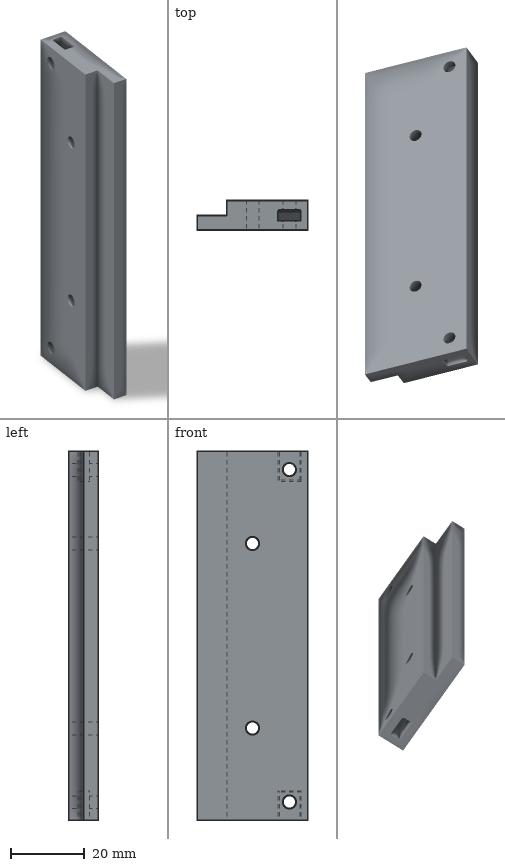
import cadquery as cq
import math

width = 30.0
thickness = 8.0
height = 100.0

step_width = 8.0
step_depth = thickness / 2

hole_diameter = 3.5
end_hole_inset = 5.0
end_hole_x = width - end_hole_inset
center_hole_x = width / 2
center_hole_inset = height / 4

pocket_width = 6.2
pocket_front_y = 2.5
pocket_thickness = 3.0
pocket_depth = end_hole_inset + pocket_width / 2

bevel_run = 0.5
bevel_angle = 30.0
bevel_inset = bevel_run * math.tan(math.radians(bevel_angle))


def make_plate():
    """Rectangular plate with its back left corner stepped down."""
    step_y = thickness - step_depth
    return (
        cq.Workplane("XY")
        .polyline([
            (0, 0),
            (width, 0),
            (width, thickness),
            (step_width, thickness),
            (step_width, step_y),
            (0, step_y),
        ])
        .close()
        .extrude(height)
    )


def make_hole(x, z):
    """Cylinder through the whole thickness, centred at x and z."""
    return cq.Workplane("XZ", origin=(x, 0, z)).circle(hole_diameter / 2).extrude(-thickness)


def make_top_pocket():
    """Nut slot open at the top end, with its back bevelled at both sides and at the floor."""
    back_y = pocket_front_y + pocket_thickness
    bevel_start_y = back_y - bevel_run
    floor_z = height - pocket_depth
    left_x = end_hole_x - pocket_width / 2
    right_x = end_hole_x + pocket_width / 2

    slot_with_bevelled_sides = (
        cq.Workplane("XY", origin=(0, 0, floor_z))
        .polyline([
            (left_x, pocket_front_y),
            (right_x, pocket_front_y),
            (right_x, bevel_start_y),
            (right_x - bevel_inset, back_y),
            (left_x + bevel_inset, back_y),
            (left_x, bevel_start_y),
        ])
        .close()
        .extrude(pocket_depth)
    )
    profile_with_bevelled_floor = (
        cq.Workplane("YZ")
        .polyline([
            (pocket_front_y, height),
            (pocket_front_y, floor_z),
            (bevel_start_y, floor_z),
            (back_y, floor_z + bevel_inset),
            (back_y, height),
        ])
        .close()
        .extrude(width)
    )
    return slot_with_bevelled_sides.intersect(profile_with_bevelled_floor)


result = make_plate()

for x, inset in ((end_hole_x, end_hole_inset), (center_hole_x, center_hole_inset)):
    for z in (inset, height - inset):
        result = result.cut(make_hole(x, z))

top_pocket = make_top_pocket()
bottom_pocket = top_pocket.mirror("XY", (0, 0, height / 2))
result = result.cut(top_pocket).cut(bottom_pocket)